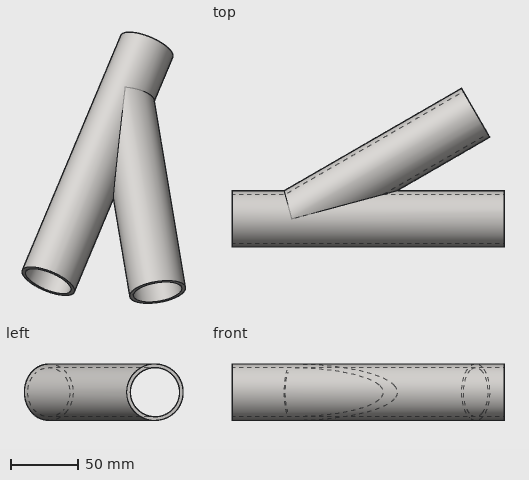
import cadquery as cq

run_length = 203.2
outer_diameter = 42.3
bore_diameter = 36.5
junction_distance = 44.5
branch_length = 158.5
branch_angle = 30.0


def run_cylinder(diameter):
    """Cylinder along X, with the crossing of the axes at the origin."""
    start = cq.Workplane("YZ", origin=(-junction_distance, 0, 0))
    return start.circle(diameter / 2).extrude(run_length)


def branch_cylinder(diameter):
    """Cylinder from the origin, leaning from +X toward +Y."""
    straight = cq.Workplane("YZ").circle(diameter / 2).extrude(branch_length)
    return straight.rotate((0, 0, 0), (0, 0, 1), branch_angle)


outer_body = run_cylinder(outer_diameter).union(branch_cylinder(outer_diameter))
result = outer_body.cut(run_cylinder(bore_diameter)).cut(branch_cylinder(bore_diameter))